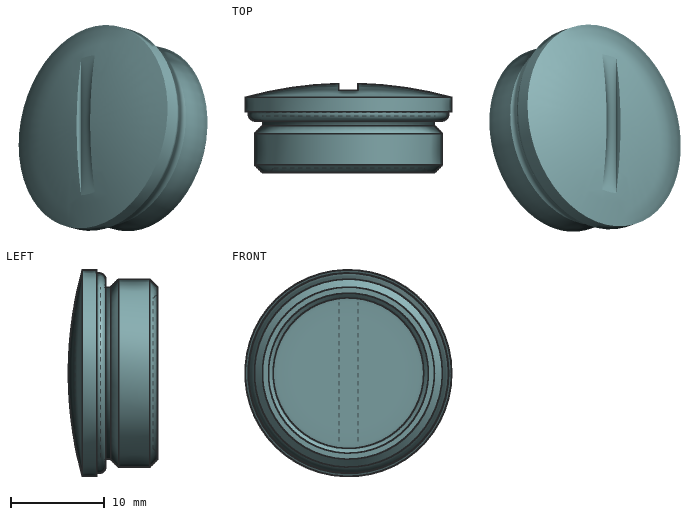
import cadquery as cq

flange_radius = 11.0
body_radius = 10.0
neck_radius = 9.15
bead_radius = 10.67
edge_chamfer = body_radius - neck_radius

body_end = 4.15
neck_start = body_end + edge_chamfer
bead_start = 5.5
flange_start = 6.5
flange_end = 8.0
dome_apex = 9.5
bead_tube_radius = 0.77

recess_mouth_radius = 8.51
recess_floor_radius = 8.0
recess_depth = 0.5

slot_width = 2.0
slot_floor = 8.8


def make_body():
    """Revolve the plug, neck, flange and domed head about Y."""
    dome_rise = dome_apex - flange_end
    sphere_radius = (flange_radius**2 + dome_rise**2) / (2 * dome_rise)
    arc_mid_x = flange_radius / 2
    arc_mid_y = dome_apex - sphere_radius + (sphere_radius**2 - arc_mid_x**2) ** 0.5
    profile = (
        cq.Workplane("XY")
        .moveTo(0, 0)
        .lineTo(body_radius - edge_chamfer, 0)
        .lineTo(body_radius, edge_chamfer)
        .lineTo(body_radius, body_end)
        .lineTo(neck_radius, neck_start)
        .lineTo(neck_radius, flange_start)
        .lineTo(flange_radius, flange_start)
        .lineTo(flange_radius, flange_end)
        .threePointArc((arc_mid_x, arc_mid_y), (0, dome_apex))
        .close()
    )
    return profile.revolve(360, (0, 0, 0), (0, 1, 0))


def make_bead():
    """Sealing ring around the neck, partly sunk into the flange."""
    profile = (
        cq.Workplane("XY")
        .center(bead_radius - bead_tube_radius, bead_start + bead_tube_radius)
        .circle(bead_tube_radius)
    )
    axis_offset = bead_tube_radius - bead_radius
    return profile.revolve(360, (axis_offset, 0, 0), (axis_offset, 1, 0))


def make_recess():
    """Shallow tapered recess in the front face."""
    profile = (
        cq.Workplane("XY")
        .moveTo(0, 0)
        .lineTo(recess_mouth_radius, 0)
        .lineTo(recess_floor_radius, recess_depth)
        .lineTo(0, recess_depth)
        .close()
    )
    return profile.revolve(360, (0, 0, 0), (0, 1, 0))


def make_slot():
    """Screwdriver slot running along Z across the dome."""
    slot_height = dome_apex - slot_floor
    slot_length = 2 * flange_radius
    return (
        cq.Workplane("XY")
        .box(slot_width, slot_height, slot_length, centered=(True, False, True))
        .translate((0, slot_floor, 0))
    )


result = make_body().union(make_bead()).cut(make_recess()).cut(make_slot())